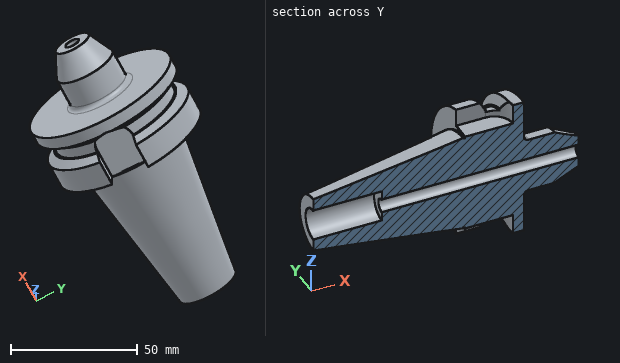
import cadquery as cq
import math


gauge_radius = 44.45 / 2
taper_length = 65.4
taper_ratio = 7 / 24
small_end_radius = gauge_radius - taper_length * taper_ratio / 2

land_length = 0.4
flange_start = 1.0
relief_depth = 0.25
relief_radius = gauge_radius - relief_depth

flange_radius = 63 / 2
flange_end = 27.0

groove_center = 16.6
groove_mouth_width = 10.1
groove_floor_width = 5.2
groove_floor_radius = 53 / 2
groove_wall_angle = math.radians(30)
groove_wall_run = (groove_mouth_width - groove_floor_width) / 2
groove_wall_foot_radius = flange_radius - groove_wall_run / math.tan(groove_wall_angle)

nose_radius = 25 / 2
nose_fillet = 2.0
nose_tip_radius = 15 / 2
nose_end = 51.0
nose_cone_angle = math.radians(25)
nose_cone_start = nose_end - (nose_radius - nose_tip_radius) / math.tan(nose_cone_angle)

slot_width = 16.1
slot_end = 22.0
slot_floor_height = 22.6
slot_clearance = 1.0

drawbar_bore_diameter = 14.0
drawbar_bore_depth = 30.0
through_hole_diameter = 6.0


def turned_body():
    """Revolve the half profile of the taper, flange and nose."""
    mouth_start = groove_center - groove_mouth_width / 2
    mouth_end = groove_center + groove_mouth_width / 2
    floor_start = groove_center - groove_floor_width / 2
    floor_end = groove_center + groove_floor_width / 2
    fillet_center = (flange_end + nose_fillet, nose_radius + nose_fillet)
    fillet_middle = (
        fillet_center[0] - nose_fillet * math.cos(math.pi / 4),
        fillet_center[1] - nose_fillet * math.sin(math.pi / 4),
    )
    profile = (
        cq.Workplane("XY")
        .moveTo(-taper_length, 0)
        .lineTo(-taper_length, small_end_radius)
        .lineTo(0, gauge_radius)
        .lineTo(land_length, gauge_radius)
        .lineTo(land_length, relief_radius)
        .lineTo(flange_start, relief_radius)
        .lineTo(flange_start, flange_radius)
        .lineTo(mouth_start, flange_radius)
        .lineTo(floor_start, groove_wall_foot_radius)
        .lineTo(floor_start, groove_floor_radius)
        .lineTo(floor_end, groove_floor_radius)
        .lineTo(floor_end, groove_wall_foot_radius)
        .lineTo(mouth_end, flange_radius)
        .lineTo(flange_end, flange_radius)
        .lineTo(flange_end, nose_radius + nose_fillet)
        .threePointArc(fillet_middle, (flange_end + nose_fillet, nose_radius))
        .lineTo(nose_cone_start, nose_radius)
        .lineTo(nose_end, nose_tip_radius)
        .lineTo(nose_end, 0)
        .close()
    )
    return profile.revolve(360, (0, 0, 0), (1, 0, 0))


def drive_slot():
    """Round-ended slot cutter for the +Z side, open toward the taper."""
    end_radius = slot_width / 2
    arc_center = slot_end - end_radius
    return (
        cq.Workplane("XY", origin=(0, 0, slot_floor_height))
        .moveTo(0, -end_radius)
        .lineTo(arc_center, -end_radius)
        .threePointArc((slot_end, 0), (arc_center, end_radius))
        .lineTo(0, end_radius)
        .close()
        .extrude(flange_radius - slot_floor_height + slot_clearance)
    )


def axial_bore(diameter, depth):
    """Cylinder along the axis, starting at the small end of the taper."""
    return cq.Workplane("YZ", origin=(-taper_length, 0, 0)).circle(diameter / 2).extrude(depth)


result = turned_body()
for slot_angle in (0, 180):
    result = result.cut(drive_slot().rotate((0, 0, 0), (1, 0, 0), slot_angle))
result = result.cut(axial_bore(drawbar_bore_diameter, drawbar_bore_depth))
result = result.cut(axial_bore(through_hole_diameter, taper_length + nose_end))